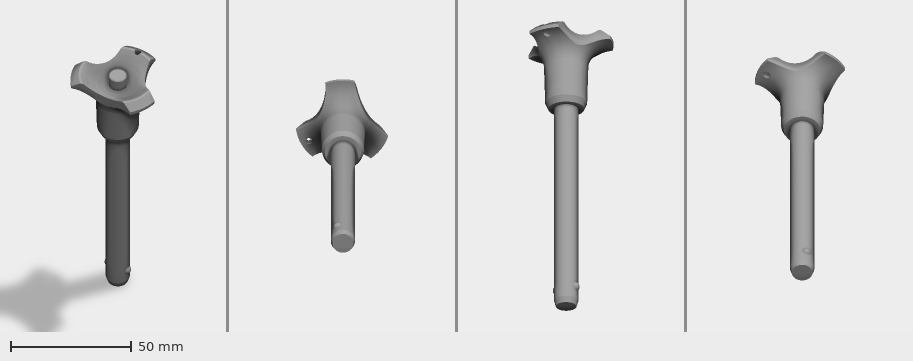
import cadquery as cq
import math

length = 122.9

shaft_radius = 5.0
tip_radius = 4.3
tip_height = 2.6

ball_radius = 2.0
ball_reach = 6.1
ball_height = 8.1

foot_z = 90.2
foot_radius = 7.5
grip_bottom_z = 92.9
grip_bottom_radius = 8.7
grip_top_z = 109.5
grip_top_radius = 9.2

flare_mid_radius = 12.0
flare_mid_z = 115.9
rim_radius = 19.7
rim_bottom_z = 118.8
rim_top_z = 120.3
bevel_radius = 16.3

dish_radius = 15.2
dish_depth = 6.1
seat_radius = 4.7
button_radius = 3.7
button_chamfer = 0.4

side_cut_radius = 19.8
side_cut_gap = 11.3
side_cut_angles = (31, 149)
front_cut_radius = 44.5
front_cut_gap = 11.0
front_cut_angle = 270

lobe_hole_radius = 1.5
lobe_hole_y = 16.0

dish_sphere_radius = (dish_radius**2 + dish_depth**2) / (2 * dish_depth)
dish_sphere_z = length - dish_depth + dish_sphere_radius


def dish_z(radius):
    """Height of the dish surface at a distance from the axis."""
    return dish_sphere_z - math.sqrt(dish_sphere_radius**2 - radius**2)


def vertical_cylinder(x, y, radius):
    """Cylinder spanning the handle height, used as a cutter."""
    return cq.Workplane("XY", origin=(x, y, foot_z)).circle(radius).extrude(length)


def make_shaft():
    return (
        cq.Workplane("XZ")
        .lineTo(tip_radius, 0)
        .lineTo(shaft_radius, tip_height)
        .lineTo(shaft_radius, grip_bottom_z)
        .lineTo(0, grip_bottom_z)
        .close()
        .revolve(360, (0, 0), (0, 1))
    )


def make_handle():
    """Revolved grip and dished head, before the lobes are cut."""
    dish_mid_radius = (dish_radius + seat_radius) / 2
    seat_z = dish_z(seat_radius)
    return (
        cq.Workplane("XZ")
        .moveTo(0, foot_z)
        .lineTo(foot_radius, foot_z)
        .lineTo(grip_bottom_radius, grip_bottom_z)
        .lineTo(grip_top_radius, grip_top_z)
        .threePointArc((flare_mid_radius, flare_mid_z), (rim_radius, rim_bottom_z))
        .lineTo(rim_radius, rim_top_z)
        .lineTo(bevel_radius, length)
        .lineTo(dish_radius, length)
        .threePointArc((dish_mid_radius, dish_z(dish_mid_radius)), (seat_radius, seat_z))
        .lineTo(0, seat_z)
        .close()
        .revolve(360, (0, 0), (0, 1))
    )


def lobe_cutter(angle, radius, gap):
    """Cylinder whose nearest point lies a given gap from the axis."""
    distance = radius + gap
    direction = math.radians(angle)
    return vertical_cylinder(distance * math.cos(direction), distance * math.sin(direction), radius)


def make_button():
    return (
        cq.Workplane("XY", origin=(0, 0, grip_top_z))
        .circle(button_radius)
        .extrude(length - grip_top_z)
        .faces(">Z")
        .chamfer(button_chamfer)
    )


handle = make_handle()
for side_angle in side_cut_angles:
    handle = handle.cut(lobe_cutter(side_angle, side_cut_radius, side_cut_gap))
handle = handle.cut(lobe_cutter(front_cut_angle, front_cut_radius, front_cut_gap))
handle = handle.cut(vertical_cylinder(0, lobe_hole_y, lobe_hole_radius))

result = make_shaft().union(handle).union(make_button())
for side in (-1, 1):
    ball_x = side * (ball_reach - ball_radius)
    ball = cq.Workplane("XY").sphere(ball_radius).translate((ball_x, 0, ball_height))
    result = result.union(ball)